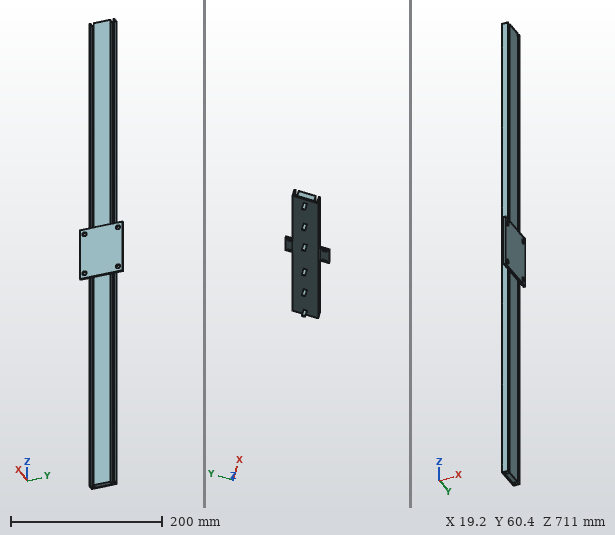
import cadquery as cq

rail_length = 711.0
channel_width = 35.5
channel_wall = 1.75
overall_depth = 19.25

bar_width = 23.5
plate_thickness = 2.5
plate_width = 60.4
plate_height = 75.0
plate_center_z = 2.0
plate_hole_diameter = 6.0
plate_hole_pitch_y = 47.5
plate_hole_pitch_z = 60.0

stud_diameter = 4.6
stud_projection = 8.0
stud_hole_depth = channel_wall
stud_end_margin = 25.3
stud_pitch = 127.0
studs_per_half = 3

plate_outer_face = overall_depth - stud_projection
plate_inner_face = plate_outer_face - plate_thickness
channel_depth = plate_inner_face
outer_stud_z = rail_length / 2 - stud_end_margin
stud_heights = [
    side * (outer_stud_z - index * stud_pitch)
    for side in (-1, 1)
    for index in range(studs_per_half)
]


def block(x_start, x_end, width, height):
    """Box between two X positions, centred on Y and Z."""
    return cq.Workplane("XY").box(
        x_end - x_start, width, height, centered=(False, True, True)
    ).translate((x_start, 0, 0))


def make_stud(height):
    """Round stud seated in the channel web and standing out toward -X."""
    return (
        cq.Workplane("YZ", origin=(-stud_projection, 0, height))
        .circle(stud_diameter / 2)
        .extrude(stud_projection + stud_hole_depth)
    )


def make_channel():
    """U-shaped channel open toward +X, with a seat for each stud."""
    channel = block(0, channel_depth, channel_width, rail_length)
    inner_width = channel_width - 2 * channel_wall
    channel = channel.cut(block(channel_wall, channel_depth, inner_width, rail_length))
    for height in stud_heights:
        channel = channel.cut(make_stud(height))
    return channel


def make_slider():
    """Bar lying against the web, with the drilled mounting plate on its open side."""
    bar = block(channel_wall, plate_inner_face, bar_width, rail_length)
    plate = block(plate_inner_face, plate_outer_face, plate_width, plate_height)
    holes = (
        cq.Workplane("YZ", origin=(plate_inner_face, 0, 0))
        .rarray(plate_hole_pitch_y, plate_hole_pitch_z, 2, 2)
        .circle(plate_hole_diameter / 2)
        .extrude(plate_thickness)
    )
    return bar.union(plate.cut(holes).translate((0, 0, plate_center_z)))


channel = make_channel()
slider = make_slider()
studs = [make_stud(height) for height in stud_heights]

result = cq.Compound.makeCompound(
    [channel.val(), slider.val(), *[stud.val() for stud in studs]]
)